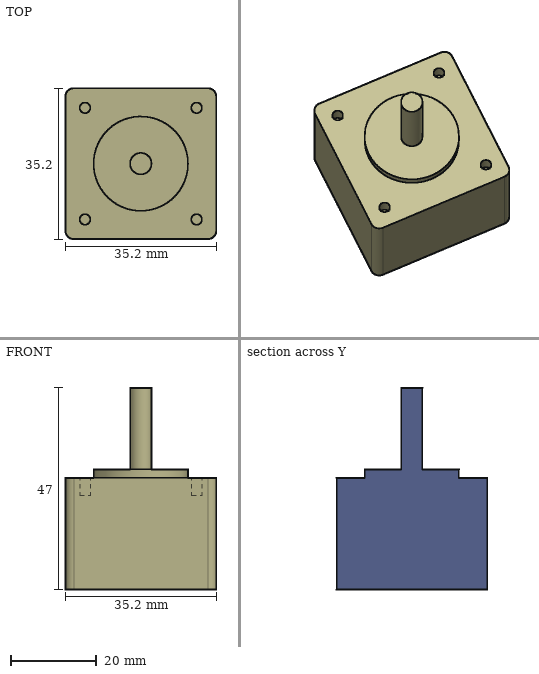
import cadquery as cq

body_width = 35.2
body_height = 26.0
corner_radius = 2.0

boss_diameter = 22.0
boss_height = 2.0
shaft_diameter = 5.0
overall_height = 47.0
shaft_length = overall_height - body_height - boss_height

hole_diameter = 2.46
hole_spacing = 26.0
hole_depth = 4.0


def make_body():
    """Square block with rounded vertical edges."""
    block = cq.Workplane("XY").box(body_width, body_width, body_height, centered=(True, True, False))
    return block.edges("|Z").fillet(corner_radius)


def add_boss_and_shaft(body):
    """Pilot boss on the top face, with the shaft on top of it."""
    with_boss = body.faces(">Z").workplane().circle(boss_diameter / 2).extrude(boss_height)
    return with_boss.faces(">Z").workplane().circle(shaft_diameter / 2).extrude(shaft_length)


def cut_mounting_holes(motor):
    """Four flat-bottomed holes sunk from the body's top face."""
    holes = (
        cq.Workplane("XY", origin=(0, 0, body_height))
        .rect(hole_spacing, hole_spacing, forConstruction=True)
        .vertices()
        .circle(hole_diameter / 2)
        .extrude(-hole_depth)
    )
    return motor.cut(holes)


result = cut_mounting_holes(add_boss_and_shaft(make_body()))